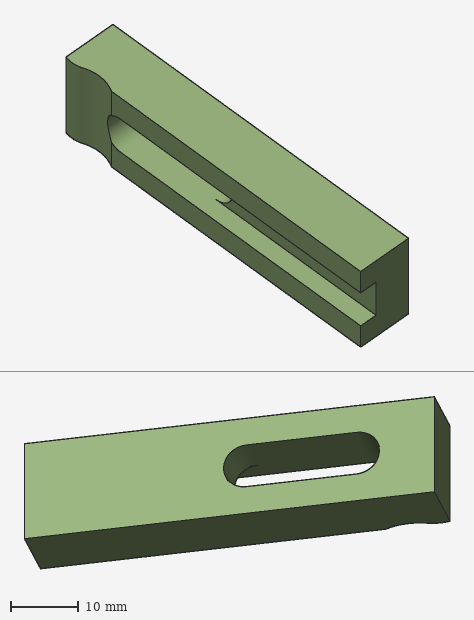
import cadquery as cq

length = 63.0
thickness = 10.0
height = 16.0

tip_edge_setback = 0.2
tip_contact_x = 1.45
tip_end_x = 3.1
tip_end_setback = 0.25
hollow_deepest_x = 6.35
hollow_depth = 0.95
hollow_end_x = 9.95

slot_width = 7.0
slot_start_x = 8.45
slot_end_x = 32.4
groove_depth = 3.2


def make_bar():
    return (
        cq.Workplane("XY")
        .workplane(offset=-height / 2)
        .moveTo(0, tip_edge_setback)
        .threePointArc((tip_contact_x, 0), (tip_end_x, tip_end_setback))
        .threePointArc((hollow_deepest_x, hollow_depth), (hollow_end_x, 0))
        .lineTo(length, 0)
        .lineTo(length, thickness)
        .lineTo(0, thickness)
        .close()
        .extrude(height)
    )


def make_slot():
    return (
        cq.Workplane("XZ")
        .center((slot_start_x + slot_end_x) / 2, 0)
        .slot2D(slot_end_x - slot_start_x, slot_width)
        .extrude(-thickness)
    )


def make_groove():
    groove_start_x = slot_end_x - slot_width / 2
    return cq.Workplane("XY").box(
        length - groove_start_x, groove_depth, slot_width, centered=(False, False, True)
    ).translate((groove_start_x, 0, 0))


result = make_bar().cut(make_slot()).cut(make_groove())